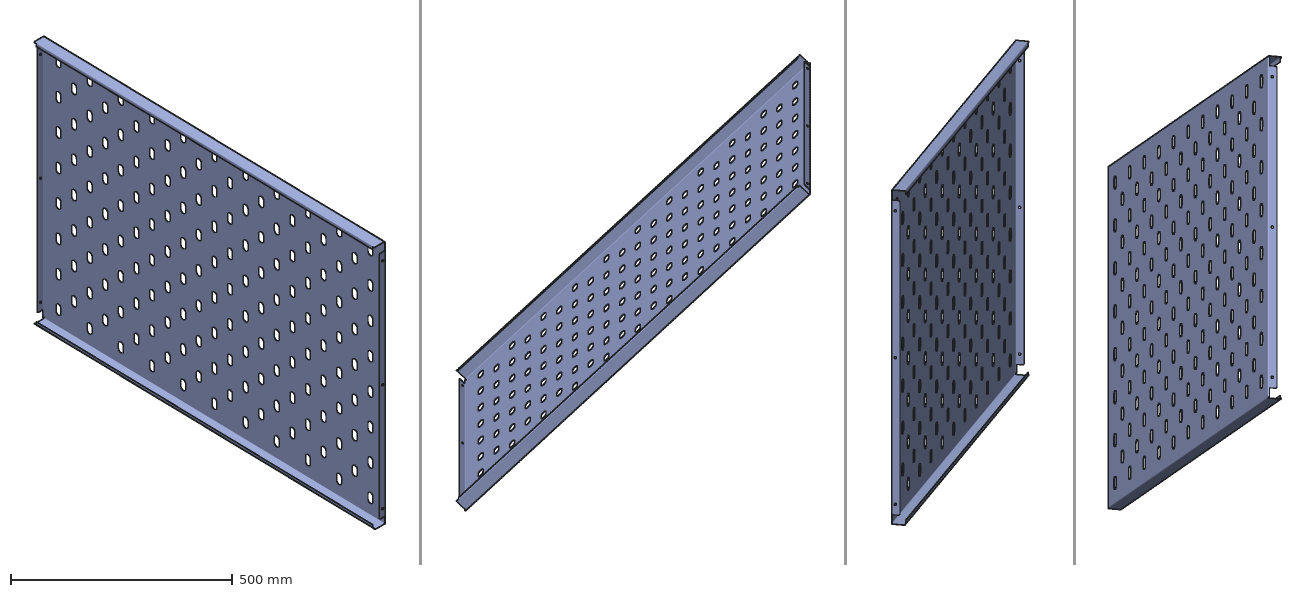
import cadquery as cq

panel_length = 1098.0
panel_height = 798.0
panel_depth = 33.0
sheet = 1.5
inner_bend_radius = 1.5
outer_bend_radius = inner_bend_radius + sheet

long_flange_inset = 3.0
lip_height = 11.0
lip_inset = 10.0

side_flange_depth = 21.0
side_flange_gap = 24.0
side_flange_corner = 4.0

slot_pitch = 100.0
slot_length = 31.0
slot_width = 15.0
columns = 11
rows = 8

side_hole_diameter = 5.0
side_hole_setback = 10.0
side_hole_count = 3

back_y = panel_depth / 2
front_y = -panel_depth / 2
long_flange_length = panel_length - 2 * long_flange_inset
side_flange_height = panel_height - 2 * side_flange_gap
slot_field_height = (rows - 1) * slot_pitch


def folded_tube(plane, width, height, length):
    """Thin-walled rectangular tube with rounded folds, centred on the origin."""
    outer = cq.Workplane(plane).sketch().rect(width, height).vertices().fillet(outer_bend_radius).finalize()
    bore = (
        cq.Workplane(plane)
        .sketch()
        .rect(width - 2 * sheet, height - 2 * sheet)
        .vertices()
        .fillet(inner_bend_radius)
        .finalize()
    )
    return outer.extrude(length / 2, both=True).cut(bore.extrude(length / 2, both=True))


def long_channel():
    """Face with the top and bottom flanges and their lips, the lips stopping short of the flange ends."""
    tube = folded_tube("YZ", panel_depth, panel_height, long_flange_length)
    between_lips = cq.Workplane("XY").box(panel_length, 2 * sheet, panel_height - 2 * lip_height)
    lip_ends = (
        cq.Workplane("XY")
        .box(panel_length, 2 * sheet, panel_height - 2 * outer_bend_radius)
        .cut(cq.Workplane("XY").box(panel_length - 2 * lip_inset, panel_depth, panel_height))
    )
    opening = between_lips.union(lip_ends).translate((0, front_y, 0))
    return tube.cut(opening)


def side_channel():
    """Face with the two side flanges; its folds run on past the flange ends to the panel corners."""
    tube_height = panel_height - 2 * outer_bend_radius
    tube = folded_tube("XY", panel_length, 2 * side_flange_depth, tube_height)
    flange_zone = (
        cq.Workplane("XY")
        .box(panel_length, side_flange_depth, side_flange_height)
        .edges("|X and <Y")
        .fillet(side_flange_corner)
        .translate((0, side_flange_depth / 2, 0))
    )
    fold_zone = (
        cq.Workplane("XY")
        .box(panel_length, outer_bend_radius, tube_height)
        .translate((0, side_flange_depth - outer_bend_radius / 2, 0))
    )
    channel = tube.intersect(flange_zone.union(fold_zone))
    return channel.translate((0, back_y - side_flange_depth, 0))


def slot_grid(column_count, row_count):
    """Upright slots on a square grid centred on the face."""
    return (
        cq.Workplane("XZ")
        .rarray(slot_pitch, slot_pitch, column_count, row_count)
        .slot2D(slot_length, slot_width, 90)
        .extrude(panel_depth, both=True)
    )


def side_holes():
    """Holes through both side flanges, lined up with the slot rows at the ends and with the middle."""
    hole_pitch = slot_field_height / (side_hole_count - 1)
    return (
        cq.Workplane("YZ")
        .center(back_y - side_hole_setback, 0)
        .rarray(11, hole_pitch, 1, side_hole_count)
        .circle(side_hole_diameter / 2)
        .extrude(panel_length, both=True)
    )


result = long_channel().union(side_channel())
result = result.cut(slot_grid(columns, rows)).cut(slot_grid(columns - 1, rows - 1))
result = result.cut(side_holes())